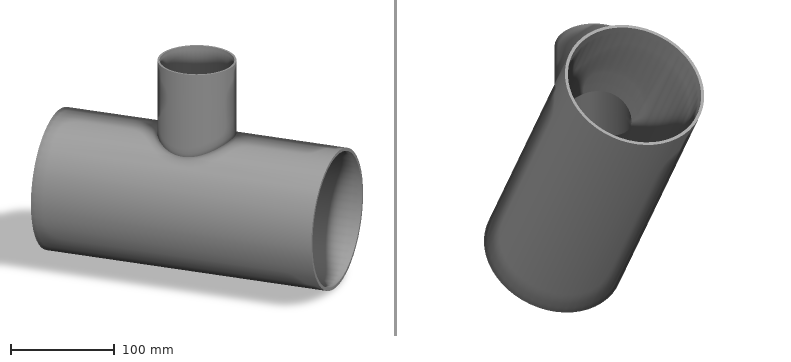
import cadquery as cq

main_length = 290.0
main_outer_diameter = 139.8
main_inner_diameter = 133.7
branch_outer_diameter = 76.3
branch_inner_diameter = 72.2
branch_height = 145.0


def main_cylinder(diameter):
    """Cylinder along X, centred on the origin, as long as the main pipe."""
    return cq.Workplane("YZ").circle(diameter / 2).extrude(main_length / 2, both=True)


def branch_cylinder(diameter):
    """Cylinder along Z from the main axis to the open end of the branch."""
    return cq.Workplane("XY").circle(diameter / 2).extrude(branch_height)


outer_body = main_cylinder(main_outer_diameter).union(branch_cylinder(branch_outer_diameter))
result = outer_body.cut(main_cylinder(main_inner_diameter)).cut(branch_cylinder(branch_inner_diameter))